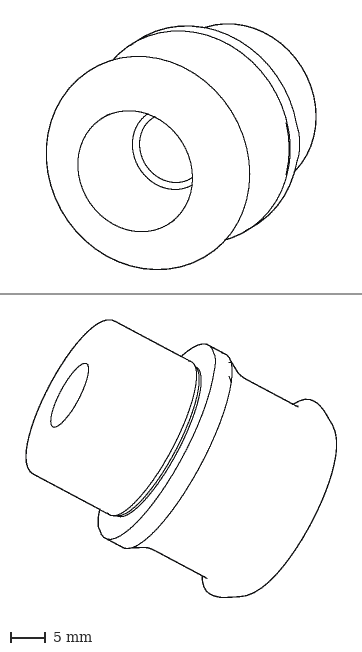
import cadquery as cq
import math

LENGTH = 37.5

BEAD_RADIUS = 31.6 / 2
BEAD_CREST_Y = 4.05
BEAD_BACK_Y = 5.3
BEAD_ROUND = 3.0
BEAD_BACK_ROUND = 0.5
BEAD_ROOT_ROUND = 1.0
CONE_ANGLE = math.radians(30)
BEAD_BACK_ANGLE = math.radians(20)

BODY_RADIUS = 28.0 / 2
BODY_END_Y = 16.72
FLARE_ROUND = 5.0

COLLAR_RADIUS = BEAD_RADIUS
COLLAR_BACK_Y = 22.72
COLLAR_EDGE = 0.1

SPIGOT_RADIUS = 25.0 / 2
SPIGOT_ROUND = 0.8
RELIEF_RADIUS = 12.15
RELIEF_END_Y = 23.05
SPIGOT_START_Y = 23.75

BORE_RADIUS = 18.0 / 2
BORE_DEPTH = 13.0
BORE_FLOOR_ROUND = 1.0
HOLE_RADIUS = 10.3 / 2
HOLE_CHAMFER = 0.9
HOLE_CHAMFER_DEPTH = 0.52

PAD_RADIUS = 32.0 / 2
PAD_TOP_HALF_WIDTH = 1.55
PAD_BASE_HALF_WIDTH = 2.75
PAD_SLOPE_LENGTH = 0.82


def add_corner(outline, before, corner, after, radius):
    """Continue an outline to a corner, rounding it with a tangent arc."""
    to_before = (cq.Vector(*before) - cq.Vector(*corner)).normalized()
    to_after = (cq.Vector(*after) - cq.Vector(*corner)).normalized()
    half_angle = to_before.getAngle(to_after) / 2
    setback = radius / math.tan(half_angle)
    bisector = (to_before + to_after).normalized()
    middle_distance = radius / math.sin(half_angle) - radius
    start = cq.Vector(*corner) + to_before * setback
    middle = cq.Vector(*corner) + bisector * middle_distance
    end = cq.Vector(*corner) + to_after * setback
    return outline.lineTo(start.x, start.y).threePointArc((middle.x, middle.y), (end.x, end.y))


def revolve_outline(corners):
    """Revolve (radius, y, corner rounding) points about the Y axis."""
    points = [(radius, y) for radius, y, rounding in corners]
    outline = cq.Workplane("XY").moveTo(*points[0])
    for i in range(1, len(corners)):
        rounding = corners[i][2]
        if rounding:
            outline = add_corner(outline, points[i - 1], points[i], points[i + 1], rounding)
        else:
            outline = outline.lineTo(*points[i])
    return outline.close().revolve(360, (0, 0, 0), (0, 1, 0))


bead_nose_radius = BEAD_RADIUS - BEAD_CREST_Y * math.tan(CONE_ANGLE)
bead_root_y = BEAD_BACK_Y + (BEAD_RADIUS - BODY_RADIUS) * math.tan(BEAD_BACK_ANGLE)
flare_end_radius = COLLAR_RADIUS - COLLAR_EDGE
flare_end_y = BODY_END_Y + (flare_end_radius - BODY_RADIUS) / math.tan(CONE_ANGLE)
collar_front_y = flare_end_y + COLLAR_EDGE


def make_turned_body():
    return revolve_outline([
        (0, 0, 0),
        (bead_nose_radius, 0, BEAD_ROUND),
        (BEAD_RADIUS, BEAD_CREST_Y, BEAD_ROUND),
        (BEAD_RADIUS, BEAD_BACK_Y, BEAD_BACK_ROUND),
        (BODY_RADIUS, bead_root_y, BEAD_ROOT_ROUND),
        (BODY_RADIUS, BODY_END_Y, FLARE_ROUND),
        (flare_end_radius, flare_end_y, 0),
        (COLLAR_RADIUS, collar_front_y, 0),
        (COLLAR_RADIUS, COLLAR_BACK_Y, 0),
        (RELIEF_RADIUS, COLLAR_BACK_Y, 0),
        (RELIEF_RADIUS, RELIEF_END_Y, 0),
        (SPIGOT_RADIUS, SPIGOT_START_Y, 0),
        (SPIGOT_RADIUS, LENGTH, SPIGOT_ROUND),
        (0, LENGTH, 0),
    ])


def make_bore():
    return revolve_outline([
        (0, 0, 0),
        (BORE_RADIUS, 0, 0),
        (BORE_RADIUS, BORE_DEPTH, BORE_FLOOR_ROUND),
        (HOLE_RADIUS + HOLE_CHAMFER, BORE_DEPTH, 0),
        (HOLE_RADIUS, BORE_DEPTH + HOLE_CHAMFER_DEPTH, 0),
        (HOLE_RADIUS, LENGTH, 0),
        (0, LENGTH, 0),
    ])


def make_pads():
    """Pads with sloping sides, a cylindrical top and a conical front."""
    base_x = math.sqrt(COLLAR_RADIUS**2 - PAD_BASE_HALF_WIDTH**2)
    top_x = math.sqrt(PAD_RADIUS**2 - PAD_TOP_HALF_WIDTH**2)
    side_slope = (top_x - base_x) / (PAD_BASE_HALF_WIDTH - PAD_TOP_HALF_WIDTH)
    tip_x = base_x + side_slope * PAD_BASE_HALF_WIDTH
    section = [
        (-base_x, -PAD_BASE_HALF_WIDTH),
        (base_x, -PAD_BASE_HALF_WIDTH),
        (tip_x, 0),
        (base_x, PAD_BASE_HALF_WIDTH),
        (-base_x, PAD_BASE_HALF_WIDTH),
        (-tip_x, 0),
    ]
    bar = cq.Workplane("XZ").polyline(section).close().extrude(-COLLAR_BACK_Y)
    ring = revolve_outline([
        (BODY_RADIUS, collar_front_y, 0),
        (COLLAR_RADIUS, collar_front_y, 0),
        (PAD_RADIUS, collar_front_y + PAD_SLOPE_LENGTH, 0),
        (PAD_RADIUS, COLLAR_BACK_Y, 0),
        (BODY_RADIUS, COLLAR_BACK_Y, 0),
    ])
    return bar.intersect(ring)


result = make_turned_body().union(make_pads()).cut(make_bore())